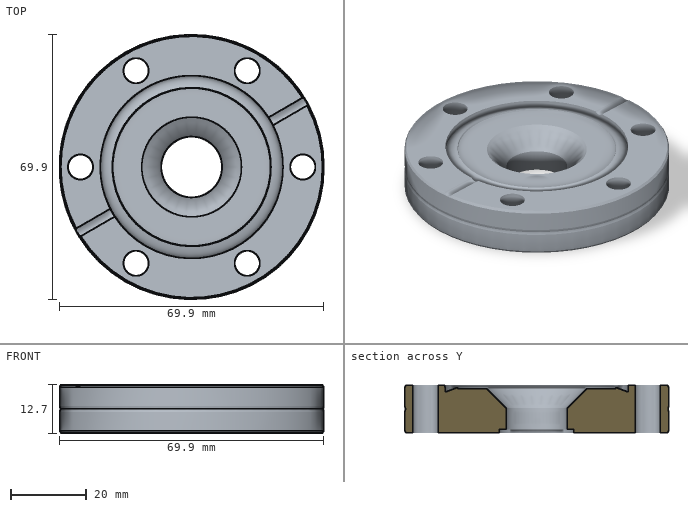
import cadquery as cq

FLANGE_DIAMETER = 69.9
THICKNESS = 12.7
CHAMFER_WIDTH = 0.4
CHAMFER_HEIGHT = 0.6

RIM_GROOVE_WIDTH = 1.5
RIM_GROOVE_DEPTH = 0.2

RECESS_DIAMETER = 48.3
RECESS_DEPTH = 1.8
KNIFE_DIAMETER = 41.95
KNIFE_DEPTH = 0.6
KNIFE_INNER_WIDTH = 0.15
HUB_FACE_DEPTH = 1.0

BORE_DIAMETER = 16.0
COUNTERSINK_DIAMETER = 26.35
COUNTERBORE_DIAMETER = 19.6
COUNTERBORE_DEPTH = HUB_FACE_DEPTH

BOLT_COUNT = 6
BOLT_DIAMETER = 6.6
BOLT_CIRCLE_DIAMETER = 58.7

CHANNEL_ANGLE = 30
CHANNEL_WIDTH = 2.4
CHANNEL_DEPTH = 0.55


def flange_body():
    """Revolve the half section of the flange around Z."""
    outer = FLANGE_DIAMETER / 2
    bore = BORE_DIAMETER / 2
    countersink = COUNTERSINK_DIAMETER / 2
    counterbore = COUNTERBORE_DIAMETER / 2
    knife = KNIFE_DIAMETER / 2
    recess = RECESS_DIAMETER / 2
    hub_face = THICKNESS - HUB_FACE_DEPTH
    middle = THICKNESS / 2
    half_groove = RIM_GROOVE_WIDTH / 2
    section = [
        (bore, COUNTERBORE_DEPTH),
        (counterbore, COUNTERBORE_DEPTH),
        (counterbore, 0),
        (outer - CHAMFER_WIDTH, 0),
        (outer, CHAMFER_HEIGHT),
        (outer, middle - half_groove),
        (outer - RIM_GROOVE_DEPTH, middle),
        (outer, middle + half_groove),
        (outer, THICKNESS - CHAMFER_HEIGHT),
        (outer - CHAMFER_WIDTH, THICKNESS),
        (recess, THICKNESS),
        (recess, THICKNESS - RECESS_DEPTH),
        (knife, THICKNESS - KNIFE_DEPTH),
        (knife - KNIFE_INNER_WIDTH, hub_face),
        (countersink, hub_face),
        (bore, hub_face - (countersink - bore)),
    ]
    return cq.Workplane("XZ").polyline(section).close().revolve(360, (0, 0), (0, 1))


def bolt_holes():
    """Cylinders through the full thickness, evenly spaced from the X axis."""
    return (
        cq.Workplane("XY")
        .polarArray(BOLT_CIRCLE_DIAMETER / 2, 0, 360, BOLT_COUNT)
        .circle(BOLT_DIAMETER / 2)
        .extrude(THICKNESS)
    )


def leak_channels():
    """Cylinder along a diameter, trimmed to the flat ring outside the recess."""
    half_width = CHANNEL_WIDTH / 2
    radius = (half_width**2 + CHANNEL_DEPTH**2) / (2 * CHANNEL_DEPTH)
    axis_height = THICKNESS - CHANNEL_DEPTH + radius
    cutter = (
        cq.Workplane("YZ")
        .center(0, axis_height)
        .circle(radius)
        .extrude(FLANGE_DIAMETER / 2, both=True)
        .rotate((0, 0, 0), (0, 0, 1), CHANNEL_ANGLE)
    )
    hub_keepout = cq.Workplane("XY").circle(RECESS_DIAMETER / 2).extrude(2 * THICKNESS)
    return cutter.cut(hub_keepout)


result = flange_body().cut(bolt_holes()).cut(leak_channels())